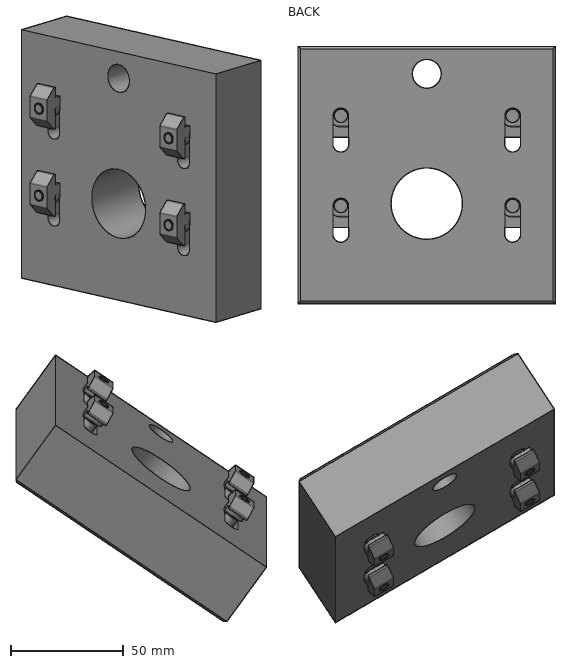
import cadquery as cq

PLATE_SIDE = 114.3
PLATE_THICKNESS = 31.8
REAR_CHAMFER = 1.1

BORE_DIAMETER = 31.5
BORE_Z = -12.7
HANGING_HOLE_DIAMETER = 12.7
HANGING_HOLE_Z = 44.9

STATION_SPACING_X = 76.2
STATION_SPACING_Z = 40.0
LOWER_STATION_Z = -13.7

SLOT_WIDTH = 7.0
SLOT_TRAVEL = 12.6

NUT_WIDTH = 10.0
NUT_FRONT = 10.3
NUT_GAP = 1.4
FLANGE_HEIGHT = 19.2
FLANGE_REAR = 4.7
FLANGE_RIM = 0.9
FRONT_FLAT_HEIGHT = FLANGE_HEIGHT - 2 * (NUT_FRONT - FLANGE_REAR - FLANGE_RIM)
TAPER_EDGE_RADIUS = 0.5
BOSS_HEIGHT = 10.0
BOSS_EDGE_RADIUS = 0.6
BOSS_CORNER_RADIUS = 4.9

SHANK_DIAMETER = 6.1
THREAD_DIAMETER = 5.0
TIP_CHAMFER = 0.5
NECK_GROOVE_WIDTH = 0.9
NECK_GROOVE_DEPTH = 0.1

STATIONS = [
    (side * STATION_SPACING_X / 2, LOWER_STATION_Z + row * STATION_SPACING_Z)
    for side in (-1, 1)
    for row in (0, 1)
]


def cylinder_y(diameter, y_start, y_end, z=0.0):
    """Round bar along Y between two Y positions, at height z."""
    bar = cq.Workplane("XZ", origin=(0, y_start, z)).circle(diameter / 2)
    return bar.extrude(y_start - y_end)


def make_plate():
    """Square plate with chamfered rear rim, two round holes and four slots."""
    plate = cq.Workplane("XY").box(
        PLATE_SIDE, PLATE_THICKNESS, PLATE_SIDE, centered=(True, False, True)
    )
    plate = plate.faces(">Y").chamfer(REAR_CHAMFER)
    plate = plate.cut(cylinder_y(BORE_DIAMETER, 0, PLATE_THICKNESS, z=BORE_Z))
    plate = plate.cut(cylinder_y(HANGING_HOLE_DIAMETER, 0, PLATE_THICKNESS, z=HANGING_HOLE_Z))
    slot_centres = [(x, z - SLOT_TRAVEL / 2) for x, z in STATIONS]
    slots = (
        cq.Workplane("XZ")
        .pushPoints(slot_centres)
        .slot2D(SLOT_TRAVEL + SLOT_WIDTH, SLOT_WIDTH, 90)
        .extrude(-PLATE_THICKNESS)
    )
    return plate.cut(slots)


def make_flange():
    """Flange bar along X whose upper and lower flanks taper towards the front."""
    taper_start = -FLANGE_REAR - FLANGE_RIM
    flange = (
        cq.Workplane("YZ")
        .moveTo(-FLANGE_REAR, -FLANGE_HEIGHT / 2)
        .lineTo(-FLANGE_REAR, FLANGE_HEIGHT / 2)
        .lineTo(taper_start, FLANGE_HEIGHT / 2)
        .lineTo(-NUT_FRONT, FRONT_FLAT_HEIGHT / 2)
        .lineTo(-NUT_FRONT, -FRONT_FLAT_HEIGHT / 2)
        .lineTo(taper_start, -FLANGE_HEIGHT / 2)
        .close()
        .extrude(NUT_WIDTH / 2, both=True)
    )
    taper_edges = cq.selectors.BoxSelector(
        (-NUT_WIDTH, -2 * NUT_FRONT, -FLANGE_HEIGHT),
        (NUT_WIDTH, taper_start + FLANGE_RIM / 2, FLANGE_HEIGHT),
    )
    return flange.edges("|X").edges(taper_edges).fillet(TAPER_EDGE_RADIUS)


def make_boss():
    """Boss behind the flange, with two opposite corners rounded for the quarter turn."""
    half_width = NUT_WIDTH / 2
    half_height = BOSS_HEIGHT / 2
    bar = (
        cq.Workplane("XZ", origin=(0, -NUT_GAP, 0))
        .rect(NUT_WIDTH, BOSS_HEIGHT)
        .extrude(FLANGE_REAR - NUT_GAP)
        .faces(">Y")
        .edges("|X")
        .fillet(BOSS_EDGE_RADIUS)
    )
    footprint = (
        cq.Workplane("XZ")
        .moveTo(-half_width, -half_height)
        .lineTo(-half_width, half_height - BOSS_CORNER_RADIUS)
        .radiusArc((BOSS_CORNER_RADIUS - half_width, half_height), BOSS_CORNER_RADIUS)
        .lineTo(half_width, half_height)
        .lineTo(half_width, BOSS_CORNER_RADIUS - half_height)
        .radiusArc((half_width - BOSS_CORNER_RADIUS, -half_height), BOSS_CORNER_RADIUS)
        .close()
        .extrude(NUT_FRONT)
    )
    return bar.intersect(footprint)


def make_nut(x, z):
    """T-nut: flange and boss with a threaded hole right through."""
    hole = cylinder_y(THREAD_DIAMETER, -NUT_GAP, -NUT_FRONT)
    return make_flange().union(make_boss()).cut(hole).translate((x, 0, z))


def make_screw(x, z):
    """Screw from the plate's rear face to the nut's front face, necked between the two."""
    shank_radius = SHANK_DIAMETER / 2
    thread_radius = THREAD_DIAMETER / 2
    neck_centre = -NUT_GAP / 2
    screw = (
        cq.Workplane("XY")
        .moveTo(0, PLATE_THICKNESS)
        .lineTo(shank_radius, PLATE_THICKNESS)
        .lineTo(shank_radius, neck_centre + NECK_GROOVE_WIDTH / 2)
        .lineTo(shank_radius - NECK_GROOVE_DEPTH, neck_centre)
        .lineTo(shank_radius, neck_centre - NECK_GROOVE_WIDTH / 2)
        .lineTo(shank_radius, -NUT_GAP)
        .lineTo(thread_radius, -NUT_GAP)
        .lineTo(thread_radius, TIP_CHAMFER - NUT_FRONT)
        .lineTo(thread_radius - TIP_CHAMFER, -NUT_FRONT)
        .lineTo(0, -NUT_FRONT)
        .close()
        .revolve(360, (0, 0, 0), (0, 1, 0))
    )
    return screw.translate((x, 0, z))


plate = make_plate()
nuts = [make_nut(x, z) for x, z in STATIONS]
screws = [make_screw(x, z) for x, z in STATIONS]

result = cq.Compound.makeCompound(
    [plate.val(), *[nut.val() for nut in nuts], *[screw.val() for screw in screws]]
)